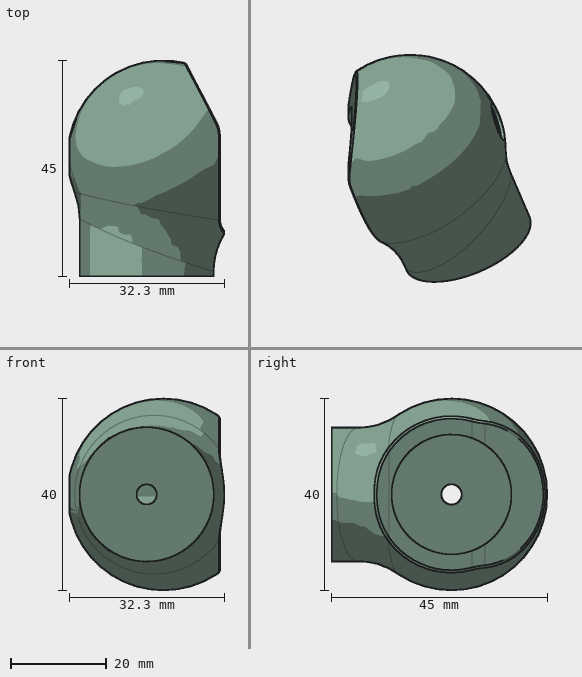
import cadquery as cq
import math

ball_radius = 20.0

neck_radius = 14.0
neck_axis_x = -3.5
neck_end_y = -25.0
neck_blend_radius = 15.0

flat_x = 11.8
slant_angle = 27.5
slant_start_y = 4.2
slant_bend_radius = 6.0
runout_start_y = -13.1
runout_radius = 4.0
relief_rim_chamfer = 0.35

pocket_radius = 12.5
pocket_floor_x = -6.0

hole_diameter = 4.2
counterbore_diameter = 8.0
counterbore_floor_x = -18.8

clearance = 2 * ball_radius


def point_on_circle(center, radius, angle):
    """Point at an angle in degrees, counted from +X towards +Y."""
    return (
        center[0] + radius * math.cos(math.radians(angle)),
        center[1] + radius * math.sin(math.radians(angle)),
    )


def make_body():
    """Ball and neck merged, with a large concave fillet along their joint."""
    ball = cq.Workplane("XY").sphere(ball_radius).rotate((0, 0, 0), (0, 0, 1), 180)
    neck = (
        cq.Workplane("XZ", origin=(neck_axis_x, 0, 0))
        .circle(neck_radius)
        .extrude(-neck_end_y)
    )
    return ball.union(neck).edges("%BSPLINE").fillet(neck_blend_radius)


def make_relief_cutter():
    """Everything removed on the +X side, as an XY outline extruded along Z."""
    bend_center = (flat_x - slant_bend_radius, slant_start_y)
    bend_middle = point_on_circle(bend_center, slant_bend_radius, slant_angle / 2)
    bend_end = point_on_circle(bend_center, slant_bend_radius, slant_angle)
    slant_rise = clearance - bend_end[1]
    slant_end_x = bend_end[0] - slant_rise * math.tan(math.radians(slant_angle))
    runout_center = (flat_x + runout_radius, runout_start_y)
    runout_middle = point_on_circle(runout_center, runout_radius, 225)
    runout_end = point_on_circle(runout_center, runout_radius, 270)
    return (
        cq.Workplane("XY")
        .moveTo(*runout_end)
        .threePointArc(runout_middle, (flat_x, runout_start_y))
        .lineTo(flat_x, slant_start_y)
        .threePointArc(bend_middle, bend_end)
        .lineTo(slant_end_x, clearance)
        .lineTo(clearance, clearance)
        .lineTo(clearance, runout_end[1])
        .close()
        .extrude(clearance, both=True)
    )


def cut_relief(body):
    """Cut the relief and chamfer its curved rim."""
    rim_zone = cq.selectors.BoxSelector(
        (0, runout_start_y - runout_radius, -ball_radius),
        (ball_radius, ball_radius, ball_radius),
    )
    relieved = body.cut(make_relief_cutter())
    return relieved.edges("not %LINE").edges(rim_zone).chamfer(relief_rim_chamfer)


def cylinder_along_x(center_x, radius, length):
    """Cylinder on the X axis, starting at center_x; negative lengths run to -X."""
    return cq.Workplane("YZ", origin=(center_x, 0, 0)).circle(radius).extrude(length)


def cut_pocket(body):
    return body.cut(cylinder_along_x(pocket_floor_x, pocket_radius, clearance))


def cut_cross_hole(body):
    hole = cylinder_along_x(pocket_floor_x, hole_diameter / 2, -clearance)
    counterbore = cylinder_along_x(counterbore_floor_x, counterbore_diameter / 2, -clearance)
    return body.cut(hole).cut(counterbore)


def cut_neck_hole(body):
    """Hole along the neck axis, from the neck end into the pocket."""
    hole = (
        cq.Workplane("XZ", origin=(neck_axis_x, neck_end_y, 0))
        .circle(hole_diameter / 2)
        .extrude(neck_end_y)
    )
    return body.cut(hole)


result = make_body()
result = cut_relief(result)
result = cut_pocket(result)
result = cut_cross_hole(result)
result = cut_neck_hole(result)